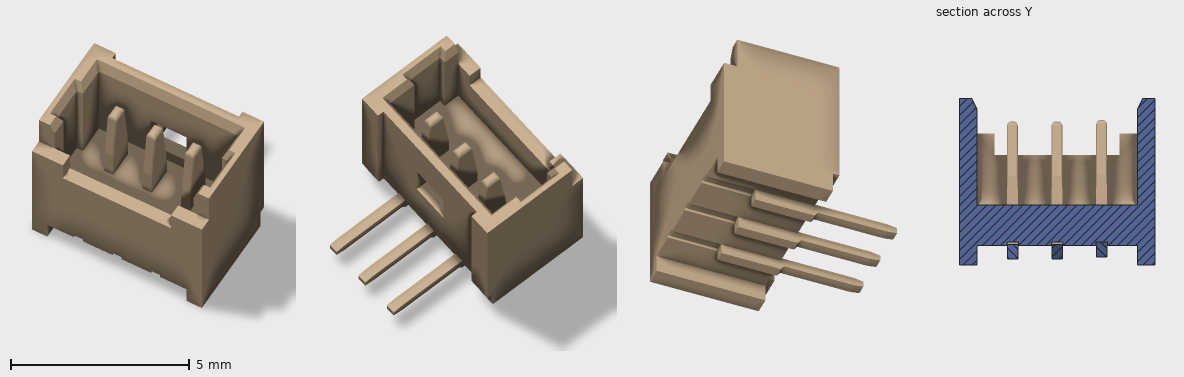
import cadquery as cq


WIDTH = 5.5
HEIGHT = 4.7
BODY_DEPTH = 3.3
SIDE_WALL = 0.5
FRONT_WALL = 0.4
BACK_WALL = 0.4
FLOOR_TOP = 1.7
UNDERSIDE = 0.55

FRONT_WALL_TOP = 3.7
NOTCH_INSET = 1.0
NOTCH_BOTTOM = 3.1

RIB_WIDTH = 0.7
RIB_DEPTH = 0.2
RIB_BOTTOM = 0.65

KEYWAY_FRONT = 0.9
KEYWAY_BACK = 2.0
KEYWAY_DEPTH = 0.2

LEAD_IN_WIDTH = 0.15
LEAD_IN_HEIGHT = 0.3

WINDOW_WIDTH = 1.16
WINDOW_BOTTOM = 2.1
WINDOW_TOP = 3.2

PIN_COUNT = 3
PITCH = 1.25
PIN_WIDTH = 0.3
FIRST_PIN_LIFT = 0.045
BLADE_FRONT = 1.7
BLADE_BACK = 2.55
BLADE_TAPER_START = 2.5
BLADE_TIP = 4.035
BLADE_TIP_FRONT = 1.9
BLADE_TIP_BACK = 2.355
TIP_ROUND = 0.13
EDGE_ROUND = 0.05
TAIL_TOP = 0.6
TAIL_THICKNESS = 0.28
TAIL_END = 5.8
TAIL_TAPER_LENGTH = 0.3
TAIL_TAPER = 0.045
HEEL_FRONT = 1.5
HEEL_BOTTOM = 0.18
HEEL_BEVEL = 0.1

GROOVE_TOP = TAIL_TOP + FIRST_PIN_LIFT

CAVITY_BACK = BODY_DEPTH - BACK_WALL


def block(x_size, y_start, y_end, z_start, z_end, x_center=0):
    """Box centred on x_center and spanning the given Y and Z ranges."""
    return (
        cq.Workplane("XY")
        .box(x_size, y_end - y_start, z_end - z_start, centered=(True, False, False))
        .translate((x_center, y_start, z_start))
    )


def cavity_outline(spread=0):
    """Corners of the cavity with a keyway on each side, every wall but the front moved out by spread."""
    half = WIDTH / 2 - SIDE_WALL + spread
    right = [
        (half, FRONT_WALL),
        (half, KEYWAY_FRONT - spread),
        (half + KEYWAY_DEPTH, KEYWAY_FRONT - spread),
        (half + KEYWAY_DEPTH, KEYWAY_BACK + spread),
        (half, KEYWAY_BACK + spread),
        (half, CAVITY_BACK + spread),
    ]
    left = [(-x, y) for x, y in reversed(right)]
    return right + left


def cavity():
    """Mating cavity, widening through the lead-in at its mouth."""
    straight = (
        cq.Workplane("XY", origin=(0, 0, FLOOR_TOP))
        .polyline(cavity_outline())
        .close()
        .extrude(HEIGHT - FLOOR_TOP)
    )
    lead_in = (
        cq.Workplane("XY", origin=(0, 0, HEIGHT - LEAD_IN_HEIGHT))
        .polyline(cavity_outline())
        .close()
        .workplane(offset=LEAD_IN_HEIGHT)
        .polyline(cavity_outline(LEAD_IN_WIDTH))
        .close()
        .loft(ruled=True)
    )
    return straight.union(lead_in)


def make_housing(pin_centers):
    body = block(WIDTH, 0, BODY_DEPTH, 0, HEIGHT)
    for side in (-1, 1):
        rib_center = side * (WIDTH - RIB_WIDTH) / 2
        body = body.union(
            block(RIB_WIDTH, BODY_DEPTH, BODY_DEPTH + RIB_DEPTH, RIB_BOTTOM, HEIGHT, rib_center)
        )
    body = body.cut(cavity())
    body = body.cut(block(WIDTH, 0, FRONT_WALL, FRONT_WALL_TOP, HEIGHT))
    body = body.cut(block(WIDTH - 2 * NOTCH_INSET, 0, FRONT_WALL, NOTCH_BOTTOM, FRONT_WALL_TOP))
    body = body.cut(block(WIDTH - 2 * SIDE_WALL, 0, BODY_DEPTH, 0, UNDERSIDE))
    body = body.cut(block(WINDOW_WIDTH, CAVITY_BACK, BODY_DEPTH, WINDOW_BOTTOM, WINDOW_TOP))
    for x in pin_centers:
        body = body.cut(block(PIN_WIDTH, 0, BODY_DEPTH, UNDERSIDE, GROOVE_TOP, x))
        body = body.cut(block(PIN_WIDTH, BLADE_FRONT, BLADE_BACK, UNDERSIDE, FLOOR_TOP, x))
    return body


def make_pin(x, lift):
    """L-shaped pin: a tapered blade standing on a tail that runs out of the back."""
    tail_bottom = TAIL_TOP - TAIL_THICKNESS
    taper_start = TAIL_END - TAIL_TAPER_LENGTH
    profile = [
        (BLADE_FRONT, TAIL_TOP),
        (HEEL_FRONT, TAIL_TOP),
        (HEEL_FRONT, HEEL_BOTTOM),
        (BODY_DEPTH, HEEL_BOTTOM),
        (BODY_DEPTH + HEEL_BEVEL, tail_bottom),
        (taper_start, tail_bottom),
        (TAIL_END, tail_bottom + TAIL_TAPER),
        (TAIL_END, TAIL_TOP - TAIL_TAPER),
        (taper_start, TAIL_TOP),
        (BLADE_BACK, TAIL_TOP),
        (BLADE_BACK, BLADE_TAPER_START),
        (BLADE_TIP_BACK, BLADE_TIP),
        (BLADE_TIP_FRONT, BLADE_TIP),
        (BLADE_FRONT, BLADE_TAPER_START),
    ]
    pin = cq.Workplane("YZ").polyline(profile).close().extrude(PIN_WIDTH / 2, both=True)
    pin = pin.faces(">Z").edges().fillet(TIP_ROUND)
    taper_edges = cq.selectors.BoxSelector(
        (-PIN_WIDTH, BLADE_FRONT, BLADE_TAPER_START + EDGE_ROUND),
        (PIN_WIDTH, BLADE_BACK, BLADE_TIP - TIP_ROUND - EDGE_ROUND),
    )
    pin = pin.edges(taper_edges).fillet(EDGE_ROUND)
    return pin.translate((x, 0, lift))


pin_centers = [(i - (PIN_COUNT - 1) / 2) * PITCH for i in range(PIN_COUNT)]
pin_lifts = [FIRST_PIN_LIFT] + [0] * (PIN_COUNT - 1)

housing = make_housing(pin_centers)
pins = [make_pin(x, lift) for x, lift in zip(pin_centers, pin_lifts)]

result = cq.Compound.makeCompound([housing.val(), *[pin.val() for pin in pins]])